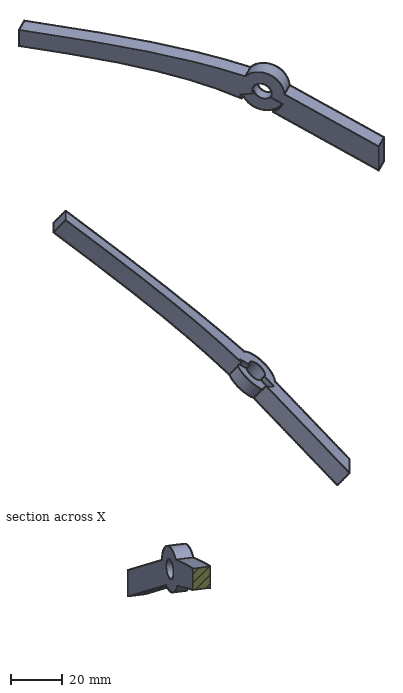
import cadquery as cq
import math


total_length = 146.17
total_height = 39.05
thickness = 7.3

hub_radius = 9.2
bore_diameter = 7.9

tip_x = -98.7
tip_top_z = 11.63
tip_height = 7.4
top_edge_hub_deg = 137.2
top_edge_end_slope_deg = 10.9
bottom_edge_hub_deg = 207.0
bottom_edge_end_slope_deg = 17.2

arm_slope_deg = 24.2
arm_width = 10.0
straight_end_x = tip_x + total_length
straight_end_bottom_z = tip_top_z - total_height

recess_depth = 2.1
recess_left_deg = 180 + 15.8
recess_right_deg = 360 - arm_slope_deg


def polar_point(radius, angle_deg):
    """Point in the XZ plane at a given distance and angle from the hub axis."""
    angle = math.radians(angle_deg)
    return (radius * math.cos(angle), radius * math.sin(angle))


def xz_sketch():
    """Sketch plane on the +Y face; extrusions run from it towards -Y."""
    return cq.Workplane("XZ", origin=(0, thickness / 2, 0))


def curved_edge(tip_z, hub_deg, end_slope_deg):
    """Bezier control points of an edge that leaves the tip level and meets the hub rim sloping down."""
    end_x, end_z = polar_point(hub_radius, hub_deg)
    end_run = (tip_z - end_z) / math.tan(math.radians(end_slope_deg))
    level_run = (end_x - tip_x) / 3
    return [
        (tip_x, tip_z),
        (tip_x + level_run, tip_z),
        (end_x - end_run, tip_z),
        (end_x, end_z),
    ]


def make_curved_arm():
    top_edge = curved_edge(tip_top_z, top_edge_hub_deg, top_edge_end_slope_deg)
    bottom_edge = curved_edge(tip_top_z - tip_height, bottom_edge_hub_deg, bottom_edge_end_slope_deg)
    outline = (
        xz_sketch()
        .moveTo(*top_edge[0])
        .bezier(top_edge)
        .lineTo(*bottom_edge[-1])
        .bezier(bottom_edge[::-1])
        .close()
    )
    return outline.extrude(thickness)


def make_straight_arm():
    slope = math.radians(arm_slope_deg)
    end_height = arm_width / math.cos(slope)
    rise = straight_end_x * math.tan(slope)
    outline = xz_sketch().polyline(
        [
            (straight_end_x, straight_end_bottom_z),
            (straight_end_x, straight_end_bottom_z + end_height),
            (0, straight_end_bottom_z + end_height + rise),
            (0, straight_end_bottom_z + rise),
        ]
    ).close()
    return outline.extrude(thickness)


def make_hub():
    return xz_sketch().circle(hub_radius).extrude(thickness)


def make_bore():
    return xz_sketch().circle(bore_diameter / 2).extrude(thickness)


def make_recess():
    middle_deg = (recess_left_deg + recess_right_deg) / 2
    return (
        cq.Workplane("XZ", origin=(0, -thickness / 2, 0))
        .lineTo(*polar_point(hub_radius, recess_left_deg))
        .threePointArc(
            polar_point(hub_radius, middle_deg),
            polar_point(hub_radius, recess_right_deg),
        )
        .close()
        .extrude(-recess_depth)
    )


lever = make_hub().union(make_curved_arm()).union(make_straight_arm())
result = lever.cut(make_bore()).cut(make_recess())